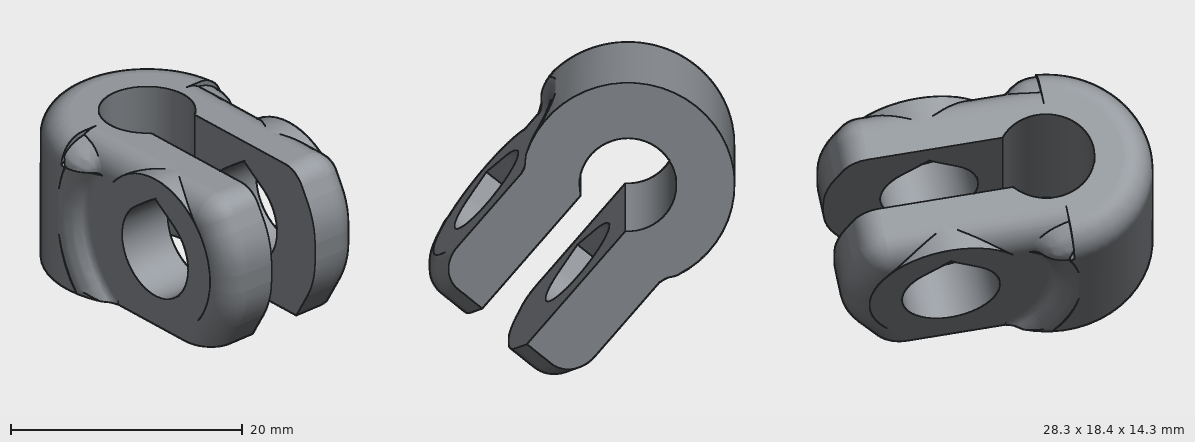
import cadquery as cq
import math

LENGTH = 28.28
HEIGHT = 14.3
MID_HEIGHT = HEIGHT / 2
BARREL_RADIUS = 18.4 / 2
BORE_RADIUS = 4.19
SLOT_WIDTH = 5.0
ROUND = 2.5
SHOULDER = HEIGHT - ROUND

ARM_START = 8.43
ARM_FACE = 7.72
TIP_CORNER = 2.88
TIP_SLOPE = 30.0
TIP_RADIUS = 7.64
TOP_CORNER_RADIUS = 2.52

HOLE_X = 19.0
HOLE_RADIUS = 4.3
HOLE_PEAK = 5.23
PAD_RADIUS = MID_HEIGHT

FLARE_INNER = 8.35
FLARE_OUTER = 11.17
FLARE_DEPTH = 1.4
FLARE_FOOT_RADIUS = 1.05
OUTSIDE = 5.65
CUTTER_SPAN = 4 * LENGTH


def make_barrel():
    barrel = cq.Workplane("XY").center(BARREL_RADIUS, 0).circle(BARREL_RADIUS).extrude(HEIGHT)
    return barrel.faces(">Z").edges().fillet(ROUND)


def make_arm_block():
    """Solid block with the faceted tip and rounded outer edges, before slotting."""
    foot_x = LENGTH - (MID_HEIGHT - TIP_CORNER) * math.tan(math.radians(TIP_SLOPE))
    outline = [
        (ARM_START, 0),
        (foot_x, 0),
        (LENGTH, MID_HEIGHT - TIP_CORNER),
        (LENGTH, MID_HEIGHT + TIP_CORNER),
        (foot_x, HEIGHT),
        (ARM_START, HEIGHT),
    ]
    block = cq.Workplane("XZ").polyline(outline).close().extrude(ARM_FACE, both=True)
    block = block.edges("|Y and >X").fillet(TIP_RADIUS)
    block = block.edges("|Y and >Z").edges(">X").fillet(TOP_CORNER_RADIUS)
    for side in (">Y", "<Y"):
        face = block.faces(side)
        block = face.edges("not(<X or <Z)").fillet(ROUND)
    return block


def make_pads():
    hole_axis = cq.Workplane("XZ").center(HOLE_X, MID_HEIGHT)
    return hole_axis.circle(PAD_RADIUS).extrude(ARM_FACE, both=True)


def flare_section():
    """Points (distance from hole axis, Y) from the foot of the flare out to its lip."""
    half_angle = math.atan(FLARE_DEPTH / (FLARE_OUTER - FLARE_INNER))
    wall_angle = 2 * half_angle
    lip_radius = (FLARE_OUTER - FLARE_INNER) / math.sin(wall_angle) - FLARE_FOOT_RADIUS

    def foot_point(angle):
        rise = FLARE_FOOT_RADIUS * (1 - math.cos(angle))
        return FLARE_INNER + FLARE_FOOT_RADIUS * math.sin(angle), ARM_FACE + rise

    def lip_point(angle):
        drop = lip_radius * (1 - math.cos(angle))
        return FLARE_OUTER - lip_radius * math.sin(angle), ARM_FACE + FLARE_DEPTH - drop

    foot = [foot_point(0), foot_point(half_angle), foot_point(wall_angle)]
    lip = [lip_point(half_angle), lip_point(0)]
    return foot + lip


def shoulder_section():
    """The flare section where it crosses the shoulder height, as (X, Y) points."""
    rise = SHOULDER - MID_HEIGHT
    return [(HOLE_X - math.sqrt(radius**2 - rise**2), y) for radius, y in flare_section()]


def make_flare():
    """Cutter turned about the hole axis, for the +Y side below the shoulder."""
    foot, foot_mid, bend, lip_mid, lip = [(HOLE_X - radius, y) for radius, y in flare_section()]
    profile = (
        cq.Workplane("XY", origin=(0, 0, MID_HEIGHT))
        .moveTo(HOLE_X, ARM_FACE)
        .lineTo(*foot)
        .threePointArc(foot_mid, bend)
        .threePointArc(lip_mid, lip)
        .lineTo(lip[0], lip[1] + OUTSIDE)
        .lineTo(HOLE_X, lip[1] + OUTSIDE)
        .close()
    )
    flare = profile.revolve(360, (HOLE_X, 0, 0), (HOLE_X, 1, 0))
    below = cq.Workplane("XY").rect(CUTTER_SPAN, CUTTER_SPAN).extrude(SHOULDER)
    return flare.intersect(below)


def make_shoulder_cut():
    """Cutter above the plane from the top corner of the +Y arm to the ends of the flare."""
    section = shoulder_section()
    peak = cq.Vector(ARM_START, ARM_FACE - ROUND, HEIGHT)
    foot = cq.Vector(*section[0], SHOULDER)
    lip = cq.Vector(*section[-1], SHOULDER)
    normal = (foot - peak).cross(lip - peak)
    slanted = cq.Workplane(cq.Plane(origin=peak.toTuple(), normal=normal.toTuple()))
    above_plane = slanted.rect(CUTTER_SPAN, CUTTER_SPAN).extrude(LENGTH)
    corner = cq.Workplane("XY").box(LENGTH, LENGTH, OUTSIDE, centered=False)
    return above_plane.intersect(corner.translate((ARM_START, ARM_FACE - ROUND, SHOULDER)))


def make_knuckle():
    """Domed end of the flare: its shoulder section turned up a quarter turn to the arm's top corner.

    The turn is flattened in Z so that its foot lies on the rounded edge of the arm.
    """
    pivot = (ARM_START, ARM_FACE - ROUND)
    foot, foot_mid, bend, lip_mid, lip = [
        (x - pivot[0], y - pivot[1]) for x, y in shoulder_section()
    ]
    axis_end = (foot[1], -foot[0])
    dome = (
        cq.Workplane("XY")
        .lineTo(*foot)
        .threePointArc(foot_mid, bend)
        .threePointArc(lip_mid, lip)
        .close()
        .revolve(90, (0, 0), axis_end)
    )
    flatten = cq.Matrix([[1, 0, 0, 0], [0, 1, 0, 0], [0, 0, ROUND / math.hypot(*foot), 0]])
    dome = dome.val().transformGeometry(flatten)
    return cq.Workplane(dome).translate((*pivot, SHOULDER))


def make_teardrop():
    """Round hole with two tangent flanks meeting in a peak."""
    flank_angle = math.asin(HOLE_RADIUS / HOLE_PEAK)
    flank_x = HOLE_RADIUS * math.cos(flank_angle)
    flank_z = HOLE_RADIUS * math.sin(flank_angle)
    return (
        cq.Workplane("XZ", origin=(HOLE_X, 0, MID_HEIGHT))
        .moveTo(0, HOLE_PEAK)
        .lineTo(flank_x, flank_z)
        .threePointArc((0, -HOLE_RADIUS), (-flank_x, flank_z))
        .close()
        .extrude(LENGTH, both=True)
    )


barrel = make_barrel()
for cutter in (make_flare(), make_shoulder_cut()):
    barrel = barrel.cut(cutter).cut(cutter.mirror("XZ"))

bore = cq.Workplane("XY").center(BARREL_RADIUS, 0).circle(BORE_RADIUS).extrude(HEIGHT)
slot = cq.Workplane("XY").box(LENGTH, SLOT_WIDTH, HEIGHT, centered=(False, True, False))
slot = slot.translate((BARREL_RADIUS, 0, 0))

knuckle = make_knuckle()
barrel = barrel.union(knuckle).union(knuckle.mirror("XZ"))
body = barrel.union(make_arm_block()).union(make_pads())
result = body.cut(bore).cut(slot).cut(make_teardrop())